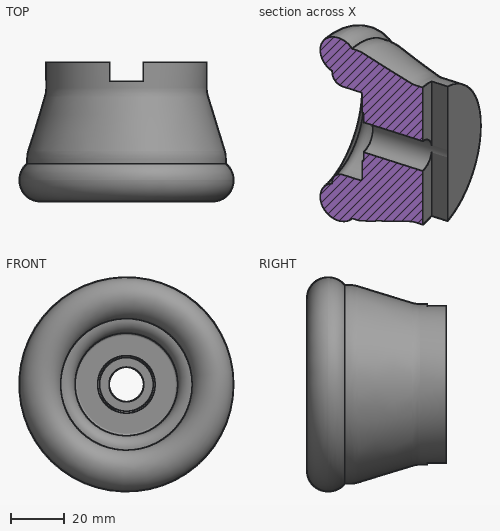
import cadquery as cq
import math

outer_radius = 40.0
length = 52.0

rim_radius = 8.0
rim_center_radius = outer_radius - rim_radius

collar_radius = 37.1
neck_radius = 30.0
cone_front_y = 17.5
cone_back_y = 40.7
blend_radius = 10.0

shoulder_y = 5.2
bore_radius = 19.1
shoulder_round = 4.95
floor_y = 18.4
floor_round = 0.9

recess_radius = 10.0
recess_depth = 0.7
recess_chamfer = 0.7
hole_radius = 6.4

slot_width = 12.4
slot_depth = 7.0

rim_collar_y = rim_radius + math.sqrt(rim_radius**2 - (collar_radius - rim_center_radius)**2)
rim_shoulder_radius = rim_center_radius - math.sqrt(rim_radius**2 - (rim_radius - shoulder_y)**2)

cone_angle = math.atan2(collar_radius - neck_radius, cone_back_y - cone_front_y)
blend_tangent = blend_radius * math.tan(cone_angle / 2)
tangent_y = blend_tangent * math.cos(cone_angle)
tangent_r = blend_tangent * math.sin(cone_angle)


def make_body():
    """Revolve the full half section, outside and cavity, about Y."""
    section = (
        cq.Workplane("XY")
        .moveTo(rim_shoulder_radius, shoulder_y)
        .threePointArc((rim_center_radius, 0), (outer_radius, rim_radius))
        .tangentArcPoint((collar_radius, rim_collar_y), relative=False)
        .lineTo(collar_radius, cone_front_y - blend_tangent)
        .tangentArcPoint((collar_radius - tangent_r, cone_front_y + tangent_y), relative=False)
        .lineTo(neck_radius + tangent_r, cone_back_y - tangent_y)
        .tangentArcPoint((neck_radius, cone_back_y + blend_tangent), relative=False)
        .lineTo(neck_radius, length)
        .lineTo(hole_radius, length)
        .lineTo(hole_radius, floor_y + recess_depth)
        .lineTo(recess_radius, floor_y + recess_depth)
        .lineTo(recess_radius + recess_chamfer, floor_y)
        .lineTo(bore_radius - floor_round, floor_y)
        .tangentArcPoint((bore_radius, floor_y - floor_round), relative=False)
        .lineTo(bore_radius, shoulder_y + shoulder_round)
        .tangentArcPoint((bore_radius + shoulder_round, shoulder_y), relative=False)
        .close()
    )
    return section.revolve(360, (0, 0, 0), (0, 1, 0))


def make_slot():
    """Straight cutter running along Z through the back end."""
    return (
        cq.Workplane("XY")
        .box(slot_width, slot_depth, 2 * outer_radius)
        .translate((0, length - slot_depth / 2, 0))
    )


result = make_body().cut(make_slot())